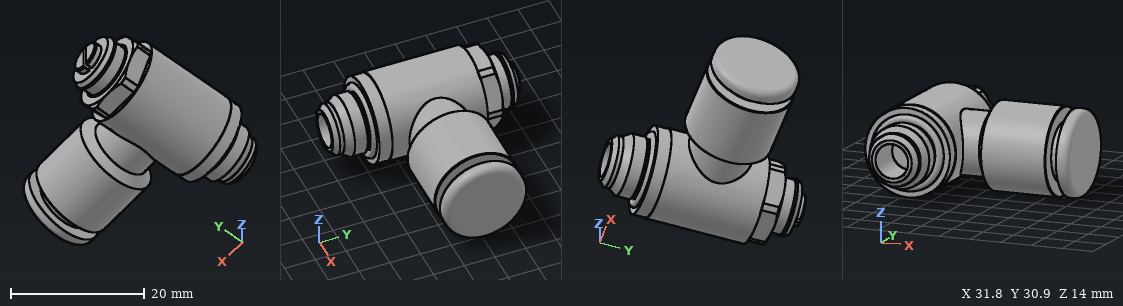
import cadquery as cq
import math


bottom_y = -15.85
tip_chamfer_y = -15.0
tip_step_y = -14.3
thread_end_y = -12.95
thread_start_y = -10.88
collar_end_y = -9.83
body_end_y = -7.73
body_top_y = 7.8
hex_top_y = 10.7
washer_top_y = 10.78
cap_start_y = 12.75
cap_rim_y = 13.1
cap_top_y = 13.93
screw_top_y = 15.07

tip_diameter = 6.5
tip_step_diameter = 8.1
tip_root_diameter = 8.0
thread_diameter = 9.73
thread_neck_diameter = 9.0
collar_diameter = 13.8
body_diameter = 14.0
washer_diameter = 9.2
neck_diameter = 8.6
cap_diameter = 9.0
cap_top_diameter = 8.1
screw_diameter = 5.02
screw_chamfer = 0.22

seal_centre_radius = 5.2
seal_section_radius = 0.7
seal_centre_y = -9.8

hex_across_flats = 12.02
hex_corner_diameter = 13.3
hex_chamfer_height = 0.35
hex_chamfer_angle = 30

bore_diameter = 5.3
bore_depth = 6.35
slot_width = 0.57

shoulder_x = 9.57
socket_x = 10.72
socket_end_x = 21.15
socket_chamfer = 0.1
release_ring_x = 22.85
branch_end_x = 24.8
branch_diameter = 10.0
socket_diameter = 13.8
release_neck_diameter = 9.2
release_ring_diameter = 13.6
release_ring_round = 1.05


def turned_on_y(stations):
    """Revolve (diameter, y) stations about the Y axis."""
    points = [(diameter / 2, y) for diameter, y in stations]
    points = [(0, points[0][1])] + points + [(0, points[-1][1])]
    return cq.Workplane("XY").polyline(points).close().revolve(360, (0, 0, 0), (0, 1, 0))


def cylinder_on_x(diameter, start, end):
    return cq.Workplane("YZ").workplane(offset=start).circle(diameter / 2).extrude(end - start)


def make_threaded_end():
    entry_chamfer = (thread_diameter - thread_neck_diameter) / 2
    return turned_on_y([
        (tip_diameter, bottom_y),
        (tip_step_diameter, tip_chamfer_y),
        (tip_step_diameter, tip_step_y),
        (tip_root_diameter, tip_step_y),
        (thread_diameter, thread_end_y),
        (thread_diameter, thread_start_y),
        (thread_neck_diameter, thread_start_y + entry_chamfer),
        (thread_neck_diameter, body_end_y),
    ])


def make_seal():
    return (
        cq.Workplane("XY")
        .center(seal_centre_radius, seal_centre_y)
        .circle(seal_section_radius)
        .revolve(360, (-seal_centre_radius, 0, 0), (-seal_centre_radius, 1, 0))
    )


def make_body():
    return turned_on_y([
        (collar_diameter, collar_end_y),
        (collar_diameter, body_end_y),
        (body_diameter, body_end_y),
        (body_diameter, body_top_y),
    ])


def make_hexagon():
    """Hexagon with two flats facing +Z and -Z, trimmed to a chamfered cylinder."""
    corner_to_corner = hex_across_flats / math.cos(math.radians(30))
    prism = (
        cq.Workplane("XZ", origin=(0, body_top_y, 0))
        .polygon(6, corner_to_corner)
        .extrude(body_top_y - hex_top_y)
    )
    chamfer_width = hex_chamfer_height / math.tan(math.radians(hex_chamfer_angle))
    envelope = turned_on_y([
        (hex_corner_diameter, body_top_y),
        (hex_corner_diameter, hex_top_y - hex_chamfer_height),
        (hex_corner_diameter - 2 * chamfer_width, hex_top_y),
    ])
    return prism.intersect(envelope)


def make_cap():
    return turned_on_y([
        (washer_diameter, body_top_y),
        (washer_diameter, washer_top_y),
        (neck_diameter, washer_top_y),
        (neck_diameter, cap_start_y),
        (cap_diameter, cap_start_y),
        (cap_diameter, cap_rim_y),
        (cap_top_diameter, cap_top_y),
    ])


def make_screw():
    """Screw end with a slot along Z that reaches down to the cap."""
    screw = turned_on_y([
        (screw_diameter, cap_rim_y),
        (screw_diameter, screw_top_y - screw_chamfer),
        (screw_diameter - 2 * screw_chamfer, screw_top_y),
    ])
    slot_depth = screw_top_y - cap_top_y
    slot = cq.Workplane("XY").box(slot_width, slot_depth, screw_diameter)
    return screw.cut(slot.translate((0, (screw_top_y + cap_top_y) / 2, 0)))


def make_branch():
    stem = cylinder_on_x(branch_diameter, 0, shoulder_x)
    shoulder = (
        cq.Workplane("YZ")
        .workplane(offset=shoulder_x)
        .circle(branch_diameter / 2)
        .workplane(offset=socket_x - shoulder_x)
        .circle(socket_diameter / 2)
        .loft()
    )
    socket = cylinder_on_x(socket_diameter, socket_x, socket_end_x).faces(">X").chamfer(socket_chamfer)
    neck = cylinder_on_x(release_neck_diameter, socket_end_x, release_ring_x)
    ring = cylinder_on_x(release_ring_diameter, release_ring_x, branch_end_x)
    ring = ring.faces(">X").edges().fillet(release_ring_round)
    return stem.union(shoulder).union(socket).union(neck).union(ring)


bore = turned_on_y([
    (bore_diameter, bottom_y),
    (bore_diameter, bottom_y + bore_depth),
])

result = make_body()
for piece in (make_threaded_end(), make_seal(), make_hexagon(), make_cap(), make_screw(), make_branch()):
    result = result.union(piece)
result = result.cut(bore)